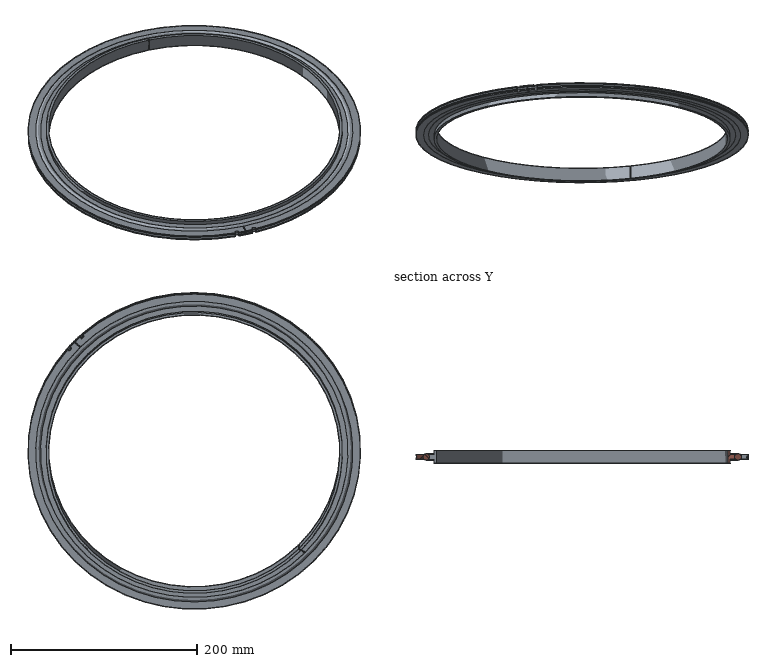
import cadquery as cq
import math

outer_radius = 178.7
bore_radius = 156.5
hub_radius = 159.2
hub_height = 14.0
flange_height = 5.5

seal_radius = 167.8
seal_section_radius = 3.75

split_width = 0.7
cut_clearance = 3.5

groove_height = 3.0
groove_depth = 0.9

wire_section_radius = 1.0
wire_stand_out = 0.5
wire_radius = outer_radius + wire_stand_out - wire_section_radius

notch_offset = 9.5
notch_width = 3.5
notch_depth = 2.5

wire_half_angle = math.degrees(math.asin((notch_offset + notch_width / 2) / wire_radius))


def disc_ring(inner, outer, height):
    """Plain ring centred on the XY plane."""
    return cq.Workplane("XY").circle(outer).circle(inner).extrude(height / 2, both=True)


def round_bar(radius, section_radius, angle=360):
    """Round bar swept around Z, starting on the +X axis."""
    return (
        cq.Workplane("XZ")
        .center(radius, 0)
        .circle(section_radius)
        .revolve(angle, (-radius, 0, 0), (-radius, 1, 0))
    )


def split_cutter(inner, outer, side):
    """Thin radial block on the X axis, on the +X side (1) or the -X side (-1)."""
    block = cq.Workplane("XY").box(outer - inner, split_width, 2 * hub_height)
    return block.translate((side * (inner + outer) / 2, 0, 0))


def make_wire():
    """Arc of round wire centred on the +X axis."""
    wire = round_bar(wire_radius, wire_section_radius, 2 * wire_half_angle)
    return wire.rotate((0, 0, 0), (0, 0, 1), -wire_half_angle)


def make_rim_groove():
    """Solid of the V-shaped groove, with its point towards the axis."""
    profile = [
        (outer_radius - groove_depth, 0),
        (outer_radius, groove_height / 2),
        (outer_radius + cut_clearance, groove_height / 2),
        (outer_radius + cut_clearance, -groove_height / 2),
        (outer_radius, -groove_height / 2),
    ]
    return cq.Workplane("XZ").polyline(profile).close().revolve(360, (0, 0, 0), (0, 1, 0))


def make_seal():
    return round_bar(seal_radius, seal_section_radius)


def make_inner_ring():
    """Tall hub with a flange that cups the inner side of the seal, split at -X."""
    hub = disc_ring(bore_radius, hub_radius, hub_height)
    flange = disc_ring(bore_radius, seal_radius - seal_section_radius / 2, flange_height)
    ring = hub.union(flange).cut(make_seal())
    return ring.cut(split_cutter(bore_radius - cut_clearance, seal_radius, -1))


def make_outer_ring():
    """Flat ring that cups the outer side of the seal, grooved, notched and split at +X."""
    ring = disc_ring(seal_radius + seal_section_radius / 2, outer_radius, flange_height)
    ring = ring.cut(make_seal())
    ring = ring.cut(make_rim_groove())
    ring = ring.cut(make_wire())
    for side in (-1, 1):
        y = side * notch_offset
        rim_x = math.sqrt(outer_radius**2 - y**2)
        notch = cq.Workplane("XY").box(2 * notch_depth, notch_width, 2 * flange_height)
        ring = ring.cut(notch.translate((rim_x, y, 0)))
    return ring.cut(split_cutter(seal_radius, outer_radius + cut_clearance, 1))


inner_ring = make_inner_ring()
seal = make_seal()
outer_ring = make_outer_ring()
wire = make_wire()
result = cq.Compound.makeCompound([inner_ring.val(), seal.val(), outer_ring.val(), wire.val()])